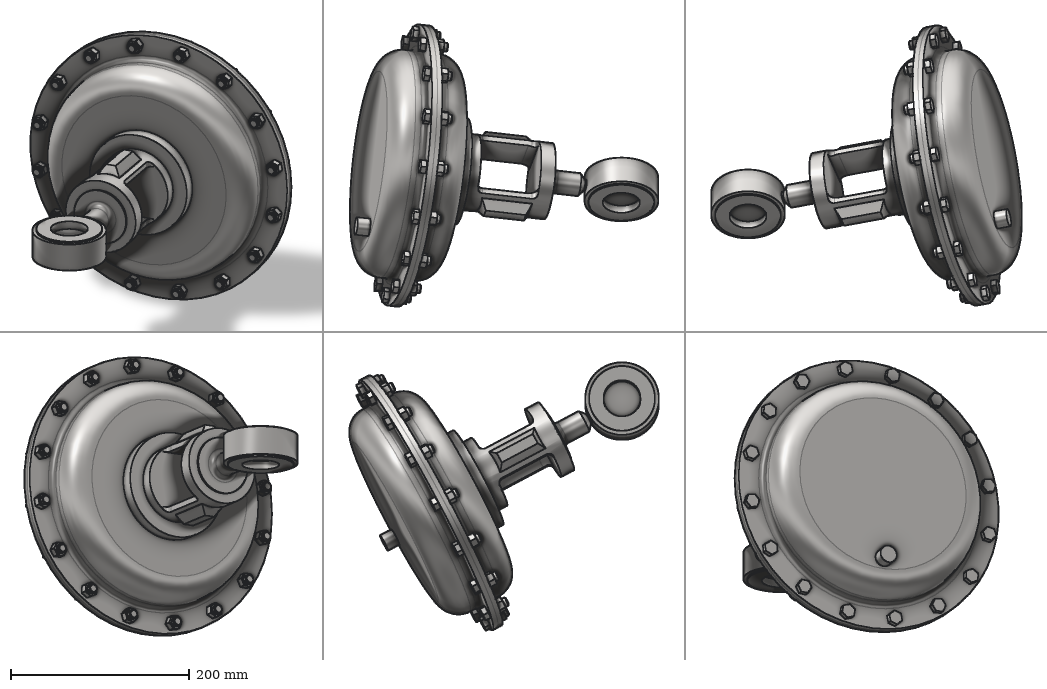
import cadquery as cq
import math


flange_radius = 158.8
flange_half = 6.0
casing_radius = 128.5
casing_half = 45.5
casing_round = 27.0
flange_blend = 6.2

bolt_count = 16
bolt_circle_radius = 147.5
ring_turn = -0.6
hex_flats = 14.5
head_height = 6.5
nut_height = 8.5
nut_chamfer = 0.85
bolt_diameter = 10.5
bolt_tip = 5.0
bolt_chamfer = 1.0

port_radius = 9.85
port_length = 14.5
port_offset = 89.0
port_sink = 3.5

hub_radius = 60.0
hub_front = -60.5
yoke_radius = 43.0
yoke_front = -159.8
window_back = -74.5
window_front = -143.3
window_height = 63.5
pillar_half_width = 19.5
pillar_fillet = 6.0
window_taper_length = 10.5
window_taper_drop = 3.0
window_taper_bulge = 1.0

pad_back = -81.5
pad_front = -139.0
pad_base_width = 26.5
pad_top_width = 12.0
pad_end_slope = 6.0
pad_base_z = 41.5
pad_top_z = 52.5
pad_foot_depth = 3.5

boss_radius = 32.0
boss_height = 2.0
stem_radius = 13.0
stem_fillet = 6.2
stem_front = -195.0
stem_cone_length = 6.0
neck_radius = 6.5

valve_radius = 41.5
valve_center_y = -243.7
valve_half_height = 16.0
face_radius = 37.0
face_height = 1.9
bore_radius = 20.7
bore_depth = 9.3


def cylinder_y(radius, y_start, y_end):
    """Cylinder along the main axis from y_start down to y_end."""
    length = y_start - y_end
    return cq.Workplane("XZ", origin=(0, y_start, 0)).circle(radius).extrude(length)


def axis_revolve(profile):
    return profile.close().revolve(360, (0, 0, 0), (0, 1, 0))


def around_axis(shape, angle):
    """Move a shape from the +X direction to the given angle, from +X towards +Z."""
    return shape.rotate((0, 0, 0), (0, 1, 0), -angle)


def make_casing():
    """Two rounded covers blended into the clamping flange."""
    cos45 = math.sqrt(0.5)
    flat_radius = casing_radius - casing_round
    wall_end = casing_half - casing_round
    blend_radius = casing_radius + flange_blend
    blend_y = flange_half + flange_blend
    round_mid = (flat_radius + casing_round * cos45, wall_end + casing_round * cos45)
    blend_mid = (blend_radius - flange_blend * cos45, blend_y - flange_blend * cos45)
    cover = axis_revolve(
        cq.Workplane("XY")
        .moveTo(0, 0)
        .lineTo(0, casing_half)
        .lineTo(flat_radius, casing_half)
        .threePointArc(round_mid, (casing_radius, wall_end))
        .lineTo(casing_radius, blend_y)
        .threePointArc(blend_mid, (blend_radius, flange_half))
        .lineTo(flange_radius, flange_half)
        .lineTo(flange_radius, 0)
    )
    return cover.union(cover.mirror("XZ"))


def make_bolt():
    """One bolt on the +X axis: head at the back, nut and bolt tip at the front."""
    corners = hex_flats / math.cos(math.pi / 6)
    head = (
        cq.Workplane("XZ", origin=(bolt_circle_radius, flange_half + head_height, 0))
        .polygon(6, corners)
        .extrude(head_height)
    )
    nut = (
        cq.Workplane("XZ", origin=(0, -flange_half, 0))
        .polygon(6, corners)
        .extrude(nut_height)
        .rotate((0, 0, 0), (0, 1, 0), 30)
    )
    nut_envelope = cylinder_y(corners / 2, -flange_half, -flange_half - nut_height)
    nut_envelope = nut_envelope.faces("<Y").chamfer(nut_chamfer)
    tip_end = -flange_half - nut_height - bolt_tip
    tip = cylinder_y(bolt_diameter / 2, -flange_half, tip_end)
    tip = tip.faces("<Y").chamfer(bolt_chamfer)
    front = nut.intersect(nut_envelope).union(tip).translate((bolt_circle_radius, 0, 0))
    return head, front


def make_port():
    port = cylinder_y(port_radius, casing_half + port_length, casing_half - port_sink)
    return around_axis(port.translate((port_offset, 0, 0)), -90 + ring_turn)


def make_window_side():
    """Gap beside the pillars on +X, with rounded corners at the pillars."""
    return (
        cq.Workplane("XY")
        .box(yoke_radius, window_back - window_front, 2 * yoke_radius, centered=(False, False, True))
        .translate((pillar_half_width, window_front, 0))
        .edges("|Z and <X")
        .fillet(pillar_fillet)
    )


def make_window_middle():
    """Opening between the pillars, narrowing in a shallow arc at its front end."""
    half = window_height / 2
    taper_start = window_front + window_taper_length
    taper_mid = window_front + window_taper_length / 2
    end_half = half - window_taper_drop
    mid_half = half - window_taper_bulge
    return (
        cq.Workplane("YZ")
        .moveTo(window_back, -half)
        .lineTo(window_back, half)
        .lineTo(taper_start, half)
        .threePointArc((taper_mid, mid_half), (window_front, end_half))
        .lineTo(window_front, -end_half)
        .threePointArc((taper_mid, -mid_half), (taper_start, -half))
        .close()
        .extrude(yoke_radius, both=True)
    )


def make_pad():
    """Tapered pad on the +Z pillar, its foot sunk into the round yoke."""
    length = pad_back - pad_front
    height = pad_top_z - pad_base_z
    pad = (
        cq.Workplane("XY", origin=(0, (pad_back + pad_front) / 2, pad_base_z))
        .rect(pad_base_width, length)
        .workplane(offset=height)
        .rect(pad_top_width, length - 2 * pad_end_slope)
        .loft()
    )
    return pad.union(pad.faces("<Z").wires().toPending().extrude(-pad_foot_depth))


def make_yoke():
    yoke = cylinder_y(yoke_radius, hub_front, yoke_front)
    side = make_window_side()
    yoke = yoke.cut(side).cut(side.mirror("YZ")).cut(make_window_middle())
    pad = make_pad()
    hub = cylinder_y(hub_radius, -casing_half, hub_front)
    return hub.union(yoke).union(pad).union(pad.mirror("XY"))


def make_stem():
    """Boss, filleted stem, cone and neck down to the valve body."""
    boss_front = yoke_front - boss_height
    fillet_mid = stem_fillet * (1 - math.sqrt(0.5))
    cone_front = stem_front - stem_cone_length
    return axis_revolve(
        cq.Workplane("XY")
        .moveTo(0, yoke_front)
        .lineTo(boss_radius, yoke_front)
        .lineTo(boss_radius, boss_front)
        .lineTo(stem_radius + stem_fillet, boss_front)
        .threePointArc(
            (stem_radius + fillet_mid, boss_front - fillet_mid),
            (stem_radius, boss_front - stem_fillet),
        )
        .lineTo(stem_radius, stem_front)
        .lineTo(neck_radius, cone_front)
        .lineTo(neck_radius, valve_center_y)
        .lineTo(0, valve_center_y)
    )


def make_valve_body():
    """Round wafer with a raised face and a blind bore on each side."""
    face_half = valve_half_height + face_height

    def disc(radius, z_start, z_end):
        plane = cq.Workplane("XY", origin=(0, valve_center_y, z_start))
        return plane.circle(radius).extrude(z_end - z_start)

    body = disc(valve_radius, -valve_half_height, valve_half_height)
    faces = disc(face_radius, -face_half, face_half)
    bore = disc(bore_radius, face_half - bore_depth, face_half)
    return body.union(faces), bore


result = make_casing().union(make_port()).union(make_yoke()).union(make_stem())

valve_body, valve_bore = make_valve_body()
result = result.union(valve_body).cut(valve_bore).cut(valve_bore.mirror("XY"))

bolt_head, bolt_front = make_bolt()
for i in range(bolt_count):
    bolt_angle = (i + 0.5) * 360 / bolt_count + ring_turn
    result = result.union(around_axis(bolt_head, bolt_angle))
    result = result.union(around_axis(bolt_front, bolt_angle))